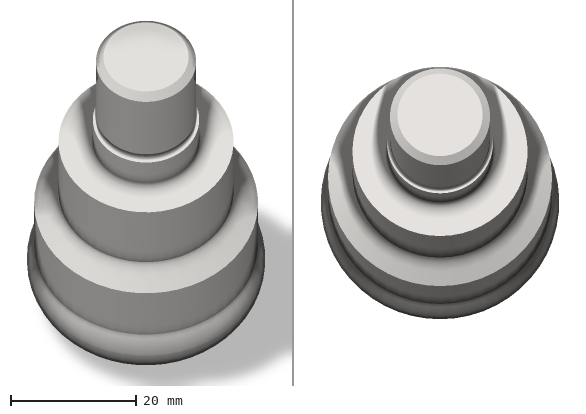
import cadquery as cq
import math

total_height = 63.0
shoulder_top_z = 40.0

stud_radius = 8.0
stud_tip_chamfer = 1.2
undercut_radius = 7.6
undercut_fillet = 0.55
undercut_bottom_z = 46.0
undercut_cone_bottom_z = 46.75
undercut_top_z = 47.55
collar_radius = 8.5
collar_fillet = 0.5

neck_radius = 14.0
neck_bottom_z = 26.45
skirt_radius = 17.9
skirt_top_z = 23.4

cap_diameter = 38.1
cap_radius = cap_diameter / 2
bulge_radius = 8.0
flat_radius = cap_radius - bulge_radius

bulge_end_angle = math.acos((skirt_radius - flat_radius) / bulge_radius)
cap_top_z = bulge_radius * (1 + math.sin(bulge_end_angle))


def turned(profile):
    """Revolve a closed radius-height profile about the vertical axis."""
    return profile.close().revolve(360, (0, 0, 0), (0, 1, 0))


def make_stem():
    """Skirt, neck, collar, undercut and stud, turned in one piece."""
    return turned(
        cq.Workplane("XZ")
        .moveTo(0, cap_top_z)
        .lineTo(skirt_radius, cap_top_z)
        .lineTo(skirt_radius, skirt_top_z)
        .lineTo(neck_radius, neck_bottom_z)
        .lineTo(neck_radius, shoulder_top_z)
        .lineTo(collar_radius + collar_fillet, shoulder_top_z)
        .radiusArc((collar_radius, shoulder_top_z + collar_fillet), collar_fillet)
        .lineTo(collar_radius, undercut_bottom_z)
        .lineTo(undercut_radius + undercut_fillet, undercut_bottom_z)
        .radiusArc((undercut_radius, undercut_bottom_z + undercut_fillet), undercut_fillet)
        .lineTo(undercut_radius, undercut_cone_bottom_z)
        .lineTo(stud_radius, undercut_top_z)
        .lineTo(stud_radius, total_height - stud_tip_chamfer)
        .lineTo(stud_radius - stud_tip_chamfer, total_height)
        .lineTo(0, total_height)
    )


def make_cap():
    """Cap with a flat underside, a rounded bulge and a flat seat for the skirt."""
    return turned(
        cq.Workplane("XZ")
        .lineTo(flat_radius, 0)
        .radiusArc((cap_radius, bulge_radius), -bulge_radius)
        .radiusArc((skirt_radius, cap_top_z), -bulge_radius)
        .lineTo(0, cap_top_z)
    )


stem = make_stem()
cap = make_cap()

result = cq.Compound.makeCompound([stem.val(), cap.val()])